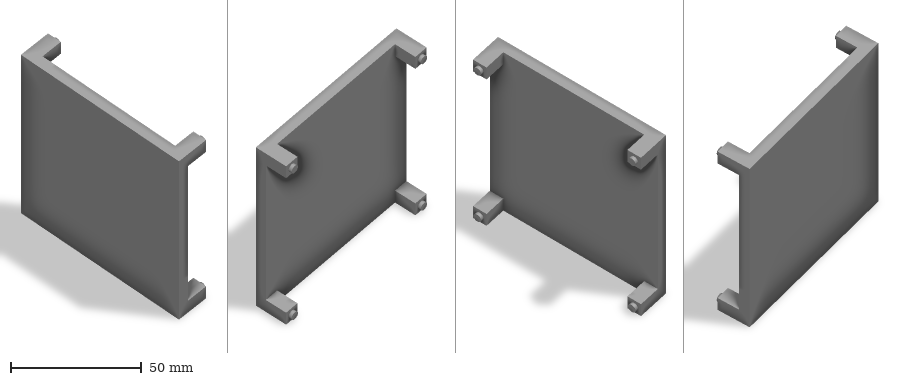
import cadquery as cq

width = 82.3
height = 88.4
total_depth = 16.8
plate_thickness = 5.0

leg_side = 6.6
pin_length = 1.5
pin_diameter = 3.7
leg_end = total_depth - pin_length

leg_x = (width - leg_side) / 2
leg_z = (height - leg_side) / 2


def corner_leg(x, z):
    """Leg from the plate's front face to leg_end, with its pin on the end."""
    leg = cq.Workplane("XY").box(leg_side, leg_end, leg_side).translate((x, leg_end / 2, z))
    pin = (
        cq.Workplane("XZ", origin=(x, leg_end, z))
        .circle(pin_diameter / 2)
        .extrude(-pin_length)
    )
    return leg.union(pin)


result = cq.Workplane("XY").box(width, plate_thickness, height).translate((0, plate_thickness / 2, 0))
for x in (-leg_x, leg_x):
    for z in (-leg_z, leg_z):
        result = result.union(corner_leg(x, z))